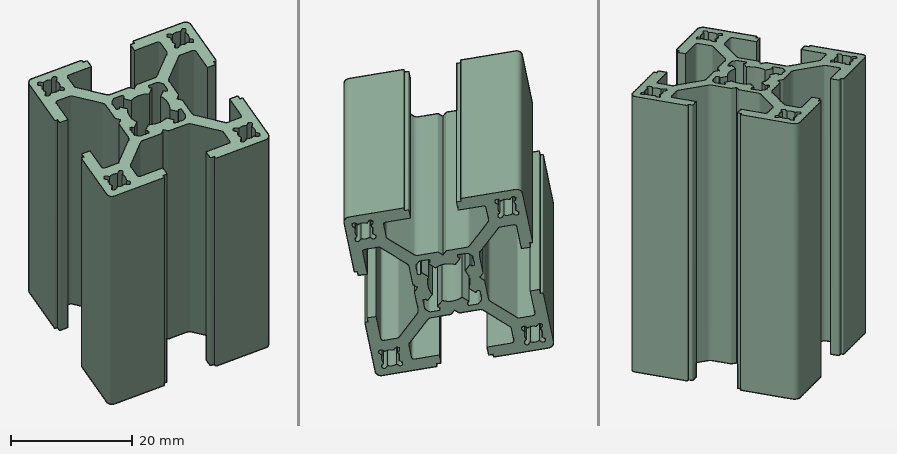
import cadquery as cq
import math

length = 50.0
side = 30.0
half_side = side / 2
outer_corner_radius = 1.0

mouth_half = 4.0
step_width = 0.75
step_depth = 0.5
lip_edge_radius = 0.15
lip_thickness = 2.05
slot_half = 8.6
slot_corner_radius = 0.45
web_offset = 1.45
web_top_radius = 0.5
web_foot_radius = 1.0
core_half = 5.9
groove_half = 0.7
groove_depth = 0.65
groove_edge_radius = 0.25

bore_radius = 3.5
pocket_outer = 4.8
pocket_inner = 2.35
pocket_chamfer = 0.7
pocket_chamfer_radius = 0.5
pocket_end_radius = 0.2
channel_offset = 1.4
tooth_size = 0.3

corner_hole_center = 12.0
corner_hole_radius = 1.5
lobe_radius = 0.4
lobe_center = 1.35


def extrude_outline(points):
    return cq.Workplane("XY").polyline(points).close().extrude(length)


def mirrored_in_x(points):
    """The points with X negated, in reverse order."""
    return [(-x, y) for x, y in reversed(points)]


def mirrored_in_diagonal(points):
    """The points with X and Y swapped, in reverse order."""
    return [(y, x) for x, y in reversed(points)]


def round_edges(body, corners, radius):
    """Fillet the upright edges that stand on the given corners."""
    for x, y in corners:
        edge = cq.selectors.NearestToPointSelector((x, y, length / 2))
        body = body.edges("|Z").edges(edge).fillet(radius)
    return body


def t_slot():
    """Space of the slot on the +Y side."""
    lip_inside = half_side - lip_thickness
    step_top = (mouth_half + step_width, half_side)
    step_inner = (mouth_half + step_width, half_side - step_depth)
    mouth_edge = (mouth_half, half_side - step_depth)
    slot_corner = (slot_half, lip_inside)
    web_top = (slot_half, slot_half + web_offset)
    web_foot = (core_half - web_offset, core_half)
    groove_edge = (groove_half, core_half)
    groove_bottom = (0, core_half - groove_depth)

    right_half = [
        step_top,
        step_inner,
        mouth_edge,
        (mouth_half, lip_inside),
        slot_corner,
        web_top,
        web_foot,
        groove_edge,
    ]
    slot = extrude_outline(right_half + [groove_bottom] + mirrored_in_x(right_half))

    rounded_corners = [
        (mouth_edge, lip_edge_radius),
        (slot_corner, slot_corner_radius),
        (web_top, web_top_radius),
        (web_foot, web_foot_radius),
        (groove_edge, groove_edge_radius),
    ]
    for corner, radius in rounded_corners:
        slot = round_edges(slot, [corner] + mirrored_in_x([corner]), radius)
    return slot


def core_pocket():
    """Pocket in the +X +Y corner of the core, with its channel to the bore."""
    channel_start = (0, channel_offset)
    tooth_tip = (pocket_inner + tooth_size, pocket_inner + tooth_size + channel_offset)
    tooth_base = (pocket_inner, tooth_tip[1] + tooth_size)
    pocket_end = (pocket_inner, pocket_outer)
    chamfer_end = (pocket_outer - pocket_chamfer, pocket_outer)

    upper_half = [channel_start, tooth_tip, tooth_base, pocket_end, chamfer_end]
    pocket = extrude_outline(upper_half + mirrored_in_diagonal(upper_half))

    for corner, radius in [(pocket_end, pocket_end_radius), (chamfer_end, pocket_chamfer_radius)]:
        pocket = round_edges(pocket, [corner] + mirrored_in_diagonal([corner]), radius)
    return pocket


def corner_hole():
    """Round hole with four lobes, in the +X +Y corner."""
    at_center = cq.Workplane("XY").center(corner_hole_center, corner_hole_center)
    hole = at_center.circle(corner_hole_radius).extrude(length)
    lobe_pair_length = 2 * (lobe_center * math.sqrt(2) + lobe_radius)
    for angle in (45, 135):
        lobe_pair = at_center.slot2D(lobe_pair_length, 2 * lobe_radius, angle).extrude(length)
        hole = hole.union(lobe_pair)
    return hole


def round_lip_tops(body):
    """Round the outermost edge of every lip."""
    step_edge = mouth_half + step_width
    for sign in (1, -1):
        for outer in (half_side, -half_side):
            corners = [(sign * step_edge, outer), (outer, sign * step_edge)]
            body = round_edges(body, corners, lip_edge_radius)
    return body


result = cq.Workplane("XY").rect(side, side).extrude(length)
result = result.edges("|Z").fillet(outer_corner_radius)
result = result.cut(cq.Workplane("XY").circle(bore_radius).extrude(length))
for cutter in (t_slot(), core_pocket(), corner_hole()):
    for quarter in range(4):
        result = result.cut(cutter.rotate((0, 0, 0), (0, 0, 1), 90 * quarter))
result = round_lip_tops(result)